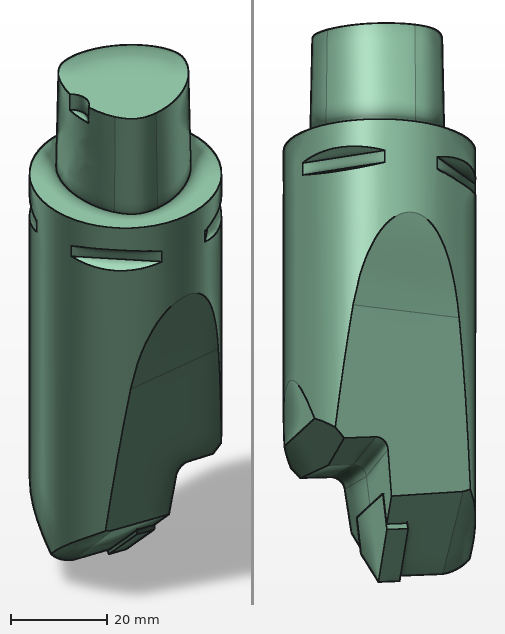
import cadquery as cq
import math

BODY_RADIUS = 20.0
SHANK_HEIGHT = 23.8
TIP_Z = SHANK_HEIGHT - 119.0
CLEAR = 47.6

SHANK_BASE_RADIUS = 14.0
SHANK_TAPER = 0.02
SHANK_LOBE = 1.0
PIECES = 6
SPLINE_SPANS = 6
NOTCH_RADIUS = 3.8
NOTCH_CENTER_Y = -14.6
NOTCH_DEPTH = 3.9

GROOVE_COUNT = 4
GROOVE_FLOOR = 17.6
GROOVE_Z = -8.2
GROOVE_FLOOR_HALF = 1.3
GROOVE_MOUTH_HALF = 2.6

FLAT_START_Z = -20.1
FLAT_ARC_END_Z = -40.7
FLAT_ARC_END_X = 16.2
FLAT_SLOPE = 0.1

BACK_START_Z = -53.2
BACK_KNEE_Y = 17.7
BACK_KNEE_Z = -64.3
BACK_CHAMFER = 8.3

POCKET_FILLET = 2.56
POCKET_FLOOR_Z = -69.5
POCKET_FLOOR_SLOPE = 0.15
POCKET_ROOF_SLOPE = 0.12
WALL_SLOPE = 0.117
WALL_TIP_Y = 0.2

POINT_SLOPE = 1.13
RELIEF_SLOPE = 0.16
HEEL_START_Y = -13.9
HEEL_END_Z = -87.6
HEEL_BULGE = 0.7

INSERT_HALF_WIDTH = 8.0
INSERT_THICKNESS = 4.8
INSERT_TOP_Z = -78.5
INSERT_OVERHANG = 1.2


def wall_y(z):
    return WALL_TIP_Y + WALL_SLOPE * (z - TIP_Z)


def point_z(y):
    """Height of the insert's edge on the centre plane."""
    return TIP_Z + RELIEF_SLOPE * (WALL_TIP_Y - y)


def sheared_pair(profile, rise):
    """Sweep a YZ profile from the centre plane to both X sides, rising outward."""
    wire = profile.wire().val()
    halves = [
        cq.Solid.extrudeLinear(wire, [], cq.Vector(side * CLEAR, 0, rise * CLEAR))
        for side in (-1, 1)
    ]
    return cq.Workplane(halves[0].fuse(halves[1]))


def lobed_section(z):
    """Three-lobed outline with one lobe toward +Y."""
    radius = SHANK_BASE_RADIUS - SHANK_TAPER * z

    def outline_point(angle):
        phase = 3 * (angle - math.pi / 2)
        support = radius + SHANK_LOBE * math.cos(phase)
        slope = -3 * SHANK_LOBE * math.sin(phase)
        return cq.Vector(
            support * math.cos(angle) - slope * math.sin(angle),
            support * math.sin(angle) + slope * math.cos(angle),
            z,
        )

    step = 2 * math.pi / PIECES
    edges = [
        cq.Edge.makeSpline(
            [outline_point(step * (piece + i / SPLINE_SPANS)) for i in range(SPLINE_SPANS + 1)]
        )
        for piece in range(PIECES)
    ]
    return cq.Wire.assembleEdges(edges)


def make_shank():
    shank = cq.Workplane(cq.Solid.makeLoft([lobed_section(0), lobed_section(SHANK_HEIGHT)], True))
    notch = (
        cq.Workplane("XY", origin=(0, NOTCH_CENTER_Y, SHANK_HEIGHT - NOTCH_DEPTH))
        .circle(NOTCH_RADIUS)
        .extrude(NOTCH_DEPTH)
    )
    return shank.cut(notch)


def make_groove(angle):
    flare = (GROOVE_MOUTH_HALF - GROOVE_FLOOR_HALF) / (BODY_RADIUS - GROOVE_FLOOR)
    outer = BODY_RADIUS + 1.2
    outer_half = GROOVE_FLOOR_HALF + flare * (outer - GROOVE_FLOOR)
    return (
        cq.Workplane("XZ")
        .moveTo(GROOVE_FLOOR, GROOVE_Z - GROOVE_FLOOR_HALF)
        .lineTo(outer, GROOVE_Z - outer_half)
        .lineTo(outer, GROOVE_Z + outer_half)
        .lineTo(GROOVE_FLOOR, GROOVE_Z + GROOVE_FLOOR_HALF)
        .close()
        .extrude(BODY_RADIUS, both=True)
        .rotate((0, 0, 0), (0, 0, 1), angle)
    )


def make_side_flat():
    """Cutter for the +X flat, whose plane runs out upward in a tangent concave arc."""
    bottom_x = FLAT_ARC_END_X - FLAT_SLOPE * (FLAT_ARC_END_Z - TIP_Z)
    return (
        cq.Workplane("XZ")
        .moveTo(bottom_x, TIP_Z)
        .lineTo(FLAT_ARC_END_X, FLAT_ARC_END_Z)
        .tangentArcPoint((BODY_RADIUS, FLAT_START_Z), relative=False)
        .lineTo(CLEAR, FLAT_START_Z)
        .lineTo(CLEAR, TIP_Z)
        .close()
        .extrude(CLEAR, both=True)
    )


def make_back_relief():
    chamfer_end_y = BACK_KNEE_Y - BACK_CHAMFER
    return (
        cq.Workplane("YZ")
        .moveTo(BODY_RADIUS, BACK_START_Z)
        .lineTo(BACK_KNEE_Y, BACK_KNEE_Z)
        .lineTo(chamfer_end_y, BACK_KNEE_Z - BACK_CHAMFER)
        .lineTo(chamfer_end_y, TIP_Z)
        .lineTo(CLEAR, TIP_Z)
        .lineTo(CLEAR, BACK_START_Z)
        .close()
        .extrude(CLEAR, both=True)
    )


def make_pocket():
    low_z = TIP_Z - CLEAR
    corner_y = wall_y(POCKET_FLOOR_Z)
    wall_angle = math.atan2(-1, -WALL_SLOPE)
    floor_angle = math.atan2(-POCKET_FLOOR_SLOPE, 1)
    half_angle = (floor_angle - wall_angle) / 2
    setback = POCKET_FILLET / math.tan(half_angle)
    middle_angle = wall_angle + half_angle
    middle_reach = POCKET_FILLET / math.sin(half_angle) - POCKET_FILLET

    def from_corner(angle, reach):
        return (corner_y + reach * math.cos(angle), POCKET_FLOOR_Z + reach * math.sin(angle))

    profile = (
        cq.Workplane("YZ")
        .moveTo(wall_y(low_z), low_z)
        .lineTo(*from_corner(wall_angle, setback))
        .threePointArc(from_corner(middle_angle, middle_reach), from_corner(floor_angle, setback))
        .lineTo(*from_corner(floor_angle, CLEAR))
        .lineTo(corner_y + CLEAR, low_z)
        .close()
    )
    return sheared_pair(profile, POCKET_ROOF_SLOPE)


def make_point_cutter():
    """Everything below the V point, with a rounded heel on the -Y side."""
    heel_z = point_z(HEEL_START_Y) + INSERT_OVERHANG
    heel_middle = (
        (HEEL_START_Y - BODY_RADIUS) / 2,
        (heel_z + HEEL_END_Z) / 2 - HEEL_BULGE,
    )
    low_z = TIP_Z - 2 * CLEAR
    profile = (
        cq.Workplane("YZ")
        .moveTo(CLEAR, point_z(CLEAR) + INSERT_OVERHANG)
        .lineTo(HEEL_START_Y, heel_z)
        .threePointArc(heel_middle, (-BODY_RADIUS, HEEL_END_Z))
        .lineTo(-CLEAR, HEEL_END_Z)
        .lineTo(-CLEAR, low_z)
        .lineTo(CLEAR, low_z)
        .close()
    )
    return sheared_pair(profile, POINT_SLOPE)


def make_insert():
    """Pentagonal plate lying along the pocket wall, with a relieved V edge."""
    back_shift = INSERT_THICKNESS * math.hypot(1, WALL_SLOPE)
    low_z = TIP_Z - 1.2
    plate = (
        cq.Workplane("YZ")
        .moveTo(wall_y(low_z), low_z)
        .lineTo(wall_y(INSERT_TOP_Z), INSERT_TOP_Z)
        .lineTo(wall_y(INSERT_TOP_Z) - back_shift, INSERT_TOP_Z)
        .lineTo(wall_y(low_z) - back_shift, low_z)
        .close()
        .extrude(INSERT_HALF_WIDTH, both=True)
    )
    below_edge = (
        cq.Workplane("YZ")
        .moveTo(CLEAR, point_z(CLEAR))
        .lineTo(-CLEAR, point_z(-CLEAR))
        .lineTo(-CLEAR, TIP_Z - CLEAR)
        .lineTo(CLEAR, TIP_Z - CLEAR)
        .close()
    )
    return plate.cut(sheared_pair(below_edge, POINT_SLOPE))


def make_holder(insert):
    holder = cq.Workplane("XY", origin=(0, 0, TIP_Z)).circle(BODY_RADIUS).extrude(-TIP_Z)
    holder = holder.union(make_shank())
    for index in range(GROOVE_COUNT):
        holder = holder.cut(make_groove((index + 0.5) * 360 / GROOVE_COUNT))
    side_flat = make_side_flat()
    holder = holder.cut(side_flat).cut(side_flat.mirror("YZ"))
    holder = holder.cut(make_back_relief())
    holder = holder.cut(make_pocket())
    holder = holder.cut(make_point_cutter())
    return holder.cut(insert)


insert = make_insert()
holder = make_holder(insert)

result = cq.Compound.makeCompound([holder.val(), insert.val()])